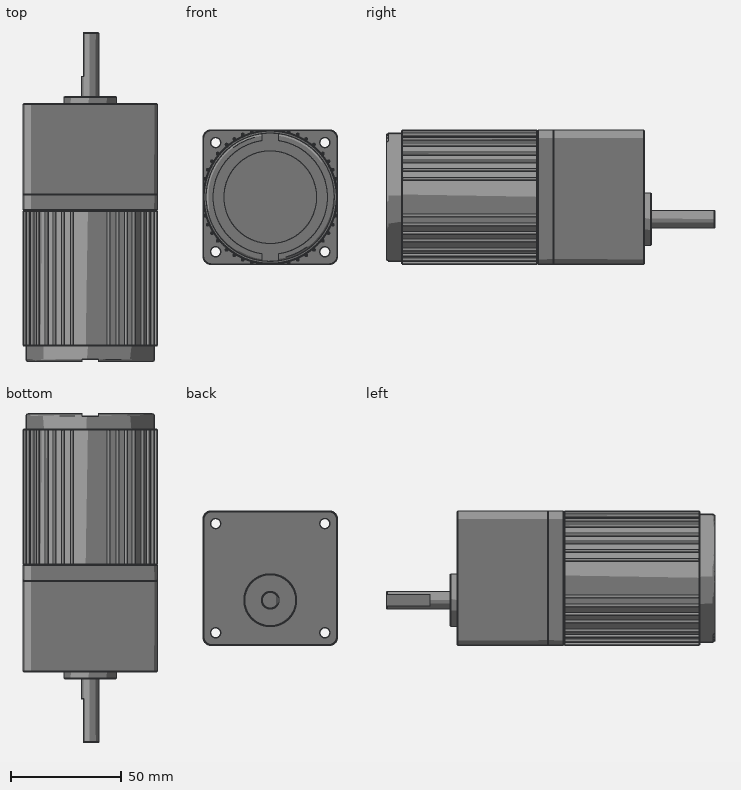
import cadquery as cq
import math


total_length = 149.0
square_side = 61.0
corner_radius = 3.7
edge_chamfer = 0.5
joint_chamfer = 0.5

hole_spacing = 49.5
hole_diameter = 4.5

gearbox_length = 41.4
collar_diameter = 24.0
collar_length = 3.1
shaft_offset = 10.0
shaft_diameter = 8.0
shaft_length = 28.9
shaft_flat_length = 19.8
shaft_flat_depth = 1.0

flange_thickness = 7.0
flange_chamfer = 0.3
body_length = 61.5
body_chamfer = 0.5
body_radius = 30.4
rib_tip_radius = 31.6
rib_width = 1.2
rib_end_chamfer = 0.5
ribs_beside_diagonal = 4
first_rib_angle = 5.3
rib_pitch_angle = 8.0

cap_radius = 29.0
rim_height = 1.0
rim_inner_radius = 26.0
rim_gap_width = 7.5
recess_radius = 21.0
recess_depth = 1.0

collar_face = gearbox_length + collar_length
shaft_tip = collar_face + shaft_length
body_start = -flange_thickness
body_end = body_start - body_length
cap_end = shaft_tip - total_length
cap_face = cap_end + rim_height


def plane_at(y, z=0.0):
    """Work plane facing +Y, with its local axes along -X and +Z."""
    return cq.Workplane("XZ", origin=(0, y, z)).transformed(rotate=(0, 180, 0))


def disc(radius, y_low, y_high, z=0.0):
    """Cylinder about a line parallel to Y."""
    return plane_at(y_low, z).circle(radius).extrude(y_high - y_low)


def square_block(y_low, y_high):
    """Square block with rounded corners, and the four cylinders that cut its screw holes."""
    block = plane_at(y_low).rect(square_side, square_side).extrude(y_high - y_low)
    block = block.edges("|Y").fillet(corner_radius)
    holes = (
        plane_at(y_low)
        .rect(hole_spacing, hole_spacing, forConstruction=True)
        .vertices()
        .circle(hole_diameter / 2)
        .extrude(y_high - y_low)
    )
    return block, holes


def make_shaft():
    """Output shaft with a chamfered tip and a flat on its -X side."""
    shaft = disc(shaft_diameter / 2, collar_face, shaft_tip, -shaft_offset)
    shaft = shaft.faces(">Y").chamfer(edge_chamfer)
    flat_cut = cq.Workplane("XY").box(
        shaft_flat_depth, shaft_flat_length, shaft_diameter, centered=(False, False, True)
    )
    flat_place = (-shaft_diameter / 2, shaft_tip - shaft_flat_length, -shaft_offset)
    return shaft.cut(flat_cut.translate(flat_place))


def make_gearbox():
    """Gearbox block, its off-centre collar and the output shaft, in one piece."""
    block, holes = square_block(0.0, gearbox_length)
    block = block.faces(">Y").chamfer(edge_chamfer)
    block = block.faces("<Y").chamfer(joint_chamfer).cut(holes)
    collar = disc(collar_diameter / 2, gearbox_length, collar_face, -shaft_offset)
    collar = collar.faces(">Y").chamfer(edge_chamfer)
    return block.union(collar).union(make_shaft())


def make_flange():
    """Square motor flange, lightly chamfered on its rear edge."""
    block, holes = square_block(body_start, 0.0)
    return block.faces("<Y").chamfer(flange_chamfer).cut(holes)


def make_rib():
    """Full-length rib with a round tip and chamfered ends, pointing along +Z."""
    half_width = rib_width / 2
    shoulder = rib_tip_radius - half_width
    root = body_radius - rib_width
    return (
        plane_at(body_end)
        .moveTo(-half_width, root)
        .lineTo(-half_width, shoulder)
        .threePointArc((0, rib_tip_radius), (half_width, shoulder))
        .lineTo(half_width, root)
        .close()
        .extrude(body_length)
        .faces("|Y")
        .chamfer(rib_end_chamfer)
    )


def make_ribbed_body():
    """Motor body with a group of ribs about each diagonal."""
    body = disc(body_radius, body_end, body_start).faces("|Y").chamfer(body_chamfer)
    rib = make_rib()
    for quarter in range(4):
        diagonal = 45 + 90 * quarter
        for index in range(ribs_beside_diagonal):
            angle = first_rib_angle + index * rib_pitch_angle
            for side in (-1, 1):
                body = body.union(rib.rotate((0, 0, 0), (0, 1, 0), diagonal + side * angle))
    return body


def make_cap():
    """End cap with a round-edged rim, two rim gaps and a shallow central recess."""
    rim_top_radius = cap_radius - rim_height
    bend = rim_height * math.sqrt(0.5)
    cap = (
        cq.Workplane("XY")
        .moveTo(0, body_end)
        .lineTo(cap_radius, body_end)
        .lineTo(cap_radius, cap_face)
        .threePointArc((rim_top_radius + bend, cap_face - bend), (rim_top_radius, cap_end))
        .lineTo(rim_inner_radius, cap_end)
        .lineTo(rim_inner_radius, cap_face)
        .lineTo(recess_radius, cap_face)
        .lineTo(recess_radius, cap_face + recess_depth)
        .lineTo(0, cap_face + recess_depth)
        .close()
        .revolve(360, (0, 0, 0), (0, 1, 0))
    )
    gap_length = cap_radius - recess_radius
    for side in (-1, 1):
        gap = cq.Workplane("XY").box(rim_gap_width, rim_height, gap_length)
        gap_middle = side * (recess_radius + cap_radius) / 2
        cap = cap.cut(gap.translate((0, cap_face - rim_height / 2, gap_middle)))
    return cap


def make_motor():
    """Flange, ribbed body and end cap in one piece."""
    return make_flange().union(make_ribbed_body()).union(make_cap())


gearbox = make_gearbox()
motor = make_motor()
result = cq.Compound.makeCompound([gearbox.val(), motor.val()])